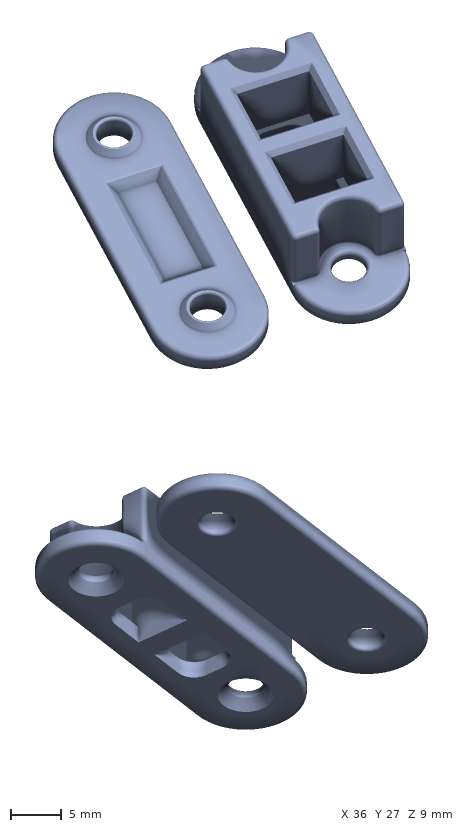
import cadquery as cq

LENGTH = 36.0
HOLE_PITCH = LENGTH * 2 / 3
WIDTH = LENGTH - HOLE_PITCH
HOLE_X = HOLE_PITCH / 2
TOTAL_DEPTH = 27.0
BODY_Y = (TOTAL_DEPTH - WIDTH) / 2
BASE_THICKNESS = LENGTH / 18
EDGE_RADIUS = BASE_THICKNESS / 4
HOLE_RADIUS = 3.5 / 2

HOUSING_HEIGHT = 9.0
BLOCK_RISE = HOUSING_HEIGHT - BASE_THICKNESS
SCALLOP_RADIUS = WIDTH / 4
FOOT_RADIUS = 0.2
HOUSING_MOUTH_RADIUS = 0.45
COUNTERSINK_DEPTH = BASE_THICKNESS / 2

CAVITY_LENGTH = 14.98
CAVITY_WIDTH = 7.7
CAVITY_CHAMFER = EDGE_RADIUS
DIVIDER_THICKNESS = 2.6
WINDOW_LENGTH = 14.0
WINDOW_WIDTH = WIDTH / 2
WINDOW_CORNER_RADIUS = BASE_THICKNESS
WINDOW_EDGE_RADIUS = 0.2

BOSS_RADIUS = 2.77
BOSS_HEIGHT = 0.7
BOSS_TOP = BASE_THICKNESS + BOSS_HEIGHT
BOSS_MOUTH_RADIUS = 0.25
PLATE_MOUTH_RADIUS = 0.3
POCKET_LENGTH = WINDOW_LENGTH
POCKET_WIDTH = WINDOW_WIDTH
POCKET_DEPTH = BASE_THICKNESS / 2
POCKET_CHAMFER = 0.1

CONE_TAPER = 45.0
MARGIN = 0.005


def edges_within(length, width, height, center_x=0.0):
    """Selector for edges lying wholly inside a rectangle at one height."""
    half_length = length / 2 + MARGIN
    half_width = width / 2 + MARGIN
    return cq.selectors.BoxSelector(
        (center_x - half_length, -half_width, height - MARGIN),
        (center_x + half_length, half_width, height + MARGIN),
        boundingbox=True,
    )


def hole_mouths(height):
    """Selector for the rims of both screw holes at one height."""
    diameter = 2 * HOLE_RADIUS
    left_mouth = edges_within(diameter, diameter, height, -HOLE_X)
    right_mouth = edges_within(diameter, diameter, height, HOLE_X)
    return left_mouth + right_mouth


def plane_at(height):
    return cq.Workplane("XY", origin=(0, 0, height))


def at_holes(height):
    """Workplane with a point on each screw hole axis."""
    return plane_at(height).pushPoints([(-HOLE_X, 0), (HOLE_X, 0)])


def make_base():
    """Round-ended slab with rounded top and bottom rims."""
    slab = plane_at(0).slot2D(LENGTH, WIDTH).extrude(BASE_THICKNESS)
    return slab.faces("<Z or >Z").edges().fillet(EDGE_RADIUS)


def make_block():
    """Scalloped block above the base, with a concave blend at its foot."""
    block = plane_at(BASE_THICKNESS).rect(HOLE_PITCH, WIDTH).extrude(BLOCK_RISE)
    block = block.cut(at_holes(BASE_THICKNESS).circle(SCALLOP_RADIUS).extrude(BLOCK_RISE))
    block = block.edges("|Z").fillet(EDGE_RADIUS)
    block = block.faces(">Z").edges().fillet(EDGE_RADIUS)

    floor = plane_at(0).rect(LENGTH, 2 * WIDTH).extrude(BASE_THICKNESS)
    foot_edges = edges_within(HOLE_PITCH, WIDTH, BASE_THICKNESS)
    footed_block = floor.union(block).edges(foot_edges).fillet(FOOT_RADIUS)

    outline = plane_at(EDGE_RADIUS).slot2D(LENGTH, WIDTH).extrude(HOUSING_HEIGHT)
    span = plane_at(0).rect(HOLE_PITCH + 2 * FOOT_RADIUS, WIDTH).extrude(HOUSING_HEIGHT)
    return footed_block.intersect(outline).intersect(span)


def cut_cavity(housing):
    """Cavity with a rounded window in its floor, parted by a full-height divider."""
    housing = housing.cut(plane_at(BASE_THICKNESS).rect(CAVITY_LENGTH, CAVITY_WIDTH).extrude(BLOCK_RISE))

    window = plane_at(0).rect(WINDOW_LENGTH, WINDOW_WIDTH).extrude(BASE_THICKNESS)
    window = window.edges("|Z").fillet(WINDOW_CORNER_RADIUS)
    window_rim = edges_within(WINDOW_LENGTH, WINDOW_WIDTH, BASE_THICKNESS)
    housing = housing.cut(window).edges(window_rim).fillet(WINDOW_EDGE_RADIUS)

    housing = housing.union(plane_at(0).rect(DIVIDER_THICKNESS, CAVITY_WIDTH).extrude(HOUSING_HEIGHT))
    pocket_rims = edges_within(CAVITY_LENGTH, CAVITY_WIDTH, HOUSING_HEIGHT)
    return housing.edges(pocket_rims).chamfer(CAVITY_CHAMFER)


def make_housing():
    housing = cut_cavity(make_base().union(make_block()))

    housing = housing.cut(at_holes(0).circle(HOLE_RADIUS).extrude(BASE_THICKNESS))
    housing = housing.edges(hole_mouths(BASE_THICKNESS)).fillet(HOUSING_MOUTH_RADIUS)
    countersink_radius = HOLE_RADIUS + COUNTERSINK_DEPTH
    countersinks = at_holes(0).circle(countersink_radius).extrude(COUNTERSINK_DEPTH, taper=CONE_TAPER)
    return housing.cut(countersinks)


def make_plate():
    bosses = at_holes(BASE_THICKNESS).circle(BOSS_RADIUS).extrude(BOSS_HEIGHT, taper=CONE_TAPER)
    plate = make_base().union(bosses)
    plate = plate.cut(at_holes(0).circle(HOLE_RADIUS).extrude(BOSS_TOP))
    plate = plate.edges(hole_mouths(BOSS_TOP)).fillet(BOSS_MOUTH_RADIUS)
    plate = plate.edges(hole_mouths(0)).fillet(PLATE_MOUTH_RADIUS)

    pocket_outline = plane_at(BASE_THICKNESS).rect(POCKET_LENGTH, POCKET_WIDTH)
    plate = plate.cut(pocket_outline.extrude(-POCKET_DEPTH, taper=CONE_TAPER))
    pocket_rim = edges_within(POCKET_LENGTH, POCKET_WIDTH, BASE_THICKNESS)
    return plate.edges(pocket_rim).chamfer(POCKET_CHAMFER)


housing = make_housing().translate((0, BODY_Y, 0))
plate = make_plate().translate((0, -BODY_Y, 0))
result = cq.Compound.makeCompound([housing.solids().val(), plate.solids().val()])